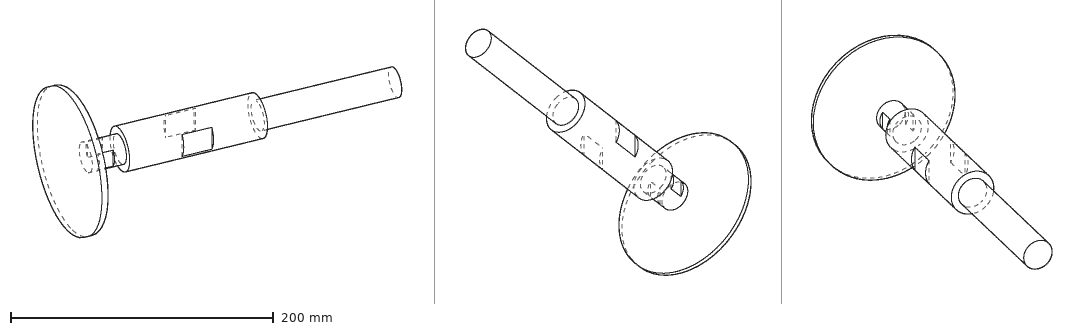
import cadquery as cq


foot_diameter = 118.0
pad_height = 4.2
pad_edge_fillet = 0.8
rim_top = 10.2
rim_fillet = 4.0
cone_top = 17.7

spindle_diameter = 24.0
spindle_end = 277.0
sleeve_diameter = 36.0
sleeve_start = 46.3
sleeve_length = 115.5

neck_flat_distance = 19.5
neck_flat_start = 23.5
neck_flat_length = 12.7
sleeve_flat_distance = 30.2
sleeve_flat_length = 25.0
sleeve_flat_start = sleeve_start + (sleeve_length - sleeve_flat_length) / 2


def cylinder(diameter, start, length):
    """Round bar along +Y beginning at Y = start."""
    return cq.Workplane("XZ", origin=(0, start, 0)).circle(diameter / 2).extrude(-length)


def cut_wrench_flats(body, bar_diameter, flat_distance, start, length):
    """Cut two parallel flats, flat_distance apart, on the -X and +X sides."""
    cut_depth = (bar_diameter - flat_distance) / 2
    for side in (-1, 1):
        center_x = side * (flat_distance + cut_depth) / 2
        cutter = cq.Workplane("XY").box(cut_depth, length, bar_diameter)
        body = body.cut(cutter.translate((center_x, start + length / 2, 0)))
    return body


def make_pad():
    """Flat disc under the foot plate with a rounded sole edge."""
    return cylinder(foot_diameter, 0, pad_height).faces("<Y").edges().fillet(pad_edge_fillet)


def make_foot_plate():
    """Conical plate with a rounded rim, seated on the pad."""
    plate = (
        cq.Workplane("XY")
        .moveTo(0, pad_height)
        .lineTo(foot_diameter / 2, pad_height)
        .lineTo(foot_diameter / 2, rim_top)
        .lineTo(spindle_diameter / 2, cone_top)
        .lineTo(0, cone_top)
        .close()
        .revolve(360, (0, 0, 0), (0, 1, 0))
    )
    top_edges = plate.edges("%CIRCLE").edges(cq.selectors.RadiusNthSelector(-1))
    return top_edges.edges(">Y").fillet(rim_fillet)


def make_leg():
    """Foot plate, spindle and sleeve section in one piece, with both pairs of flats."""
    spindle = cylinder(spindle_diameter, cone_top, spindle_end - cone_top)
    sleeve = cylinder(sleeve_diameter, sleeve_start, sleeve_length)
    leg = make_foot_plate().union(spindle).union(sleeve)
    leg = cut_wrench_flats(leg, spindle_diameter, neck_flat_distance, neck_flat_start, neck_flat_length)
    return cut_wrench_flats(
        leg, sleeve_diameter, sleeve_flat_distance, sleeve_flat_start, sleeve_flat_length
    )


pad = make_pad()
leg = make_leg()

result = cq.Compound.makeCompound([pad.val(), leg.val()])